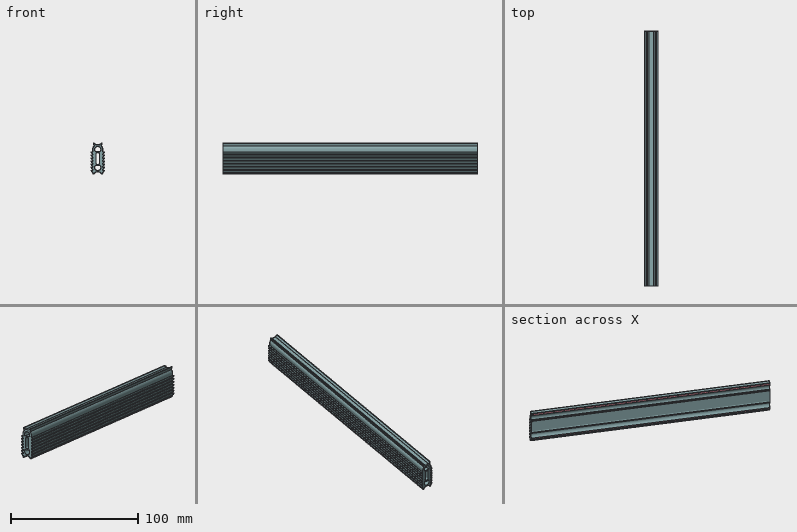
import cadquery as cq
import math

length = 200.0
width = 10.5
height = 24.5

tooth_count = 7
tooth_pitch = 2.5
tooth_tip_radius = 0.2
tooth_slope_angle = math.radians(49)
top_tooth_z = 5.2
wall_half_width = 4.0
tooth_embed = 0.5

horn_inner_x = 3.0
horn_outer_x = 3.5
horn_side_height = 0.5
horn_neck_x = 2.8
horn_neck_z = 9.8
shoulder_z = 7.5
trough_floor_half_width = 1.5
trough_floor_z = 11.0

foot_top_z = -11.2
foot_inner_x = 3.0
foot_outer_x = 3.5
lower_trough_top_z = -10.5

bore_radius = 2.5
bore_center_z = 7.0
bore_flat_z = 5.5
slot_width = 2.5
slot_height = 9.2
slot_corner_radius = 0.8

top_z = height / 2
bottom_z = -height / 2
tip_x = width / 2


def right_tooth(top):
    """Solid tooth on the +X flank whose flat upper face is at height top."""
    inner_x = wall_half_width - tooth_embed
    center_x = tip_x - tooth_tip_radius
    center_z = top - tooth_tip_radius
    slope_start_x = center_x + tooth_tip_radius * math.sin(tooth_slope_angle)
    slope_start_z = center_z - tooth_tip_radius * math.cos(tooth_slope_angle)
    root_z = slope_start_z - (slope_start_x - wall_half_width) * math.tan(tooth_slope_angle)
    return (
        cq.Workplane("XZ", origin=(0, length / 2, 0))
        .moveTo(inner_x, top)
        .lineTo(center_x, top)
        .threePointArc((tip_x, center_z), (slope_start_x, slope_start_z))
        .lineTo(wall_half_width, root_z)
        .lineTo(inner_x, root_z)
        .close()
        .extrude(length)
    )


def shoulder_middle(side):
    """Middle point of the convex shoulder between the horn neck and wall."""
    middle_x = wall_half_width - (wall_half_width - horn_neck_x) / 4
    middle_z = (horn_neck_z + shoulder_z) / 2
    return side * middle_x, middle_z


def outer_profile():
    return (
        cq.Workplane("XZ", origin=(0, length / 2, 0))
        .moveTo(-trough_floor_half_width, trough_floor_z)
        .lineTo(trough_floor_half_width, trough_floor_z)
        .lineTo(horn_inner_x, top_z)
        .lineTo(horn_outer_x, top_z)
        .lineTo(horn_outer_x, top_z - horn_side_height)
        .lineTo(horn_neck_x, horn_neck_z)
        .threePointArc(shoulder_middle(1), (wall_half_width, shoulder_z))
        .lineTo(wall_half_width, foot_top_z)
        .lineTo(foot_outer_x, bottom_z)
        .lineTo(foot_inner_x, bottom_z)
        .threePointArc((0, lower_trough_top_z), (-foot_inner_x, bottom_z))
        .lineTo(-foot_outer_x, bottom_z)
        .lineTo(-wall_half_width, foot_top_z)
        .lineTo(-wall_half_width, shoulder_z)
        .threePointArc(shoulder_middle(-1), (-horn_neck_x, horn_neck_z))
        .lineTo(-horn_outer_x, top_z - horn_side_height)
        .lineTo(-horn_outer_x, top_z)
        .lineTo(-horn_inner_x, top_z)
        .close()
    )


def bore(side):
    """Round passage cut off by a flat facing the slot; side is 1 above, -1 below."""
    flat_half_width = math.sqrt(bore_radius**2 - (bore_center_z - bore_flat_z) ** 2)
    return (
        cq.Workplane("XZ", origin=(0, length / 2, 0))
        .moveTo(-flat_half_width, side * bore_flat_z)
        .threePointArc(
            (0, side * (bore_center_z + bore_radius)),
            (flat_half_width, side * bore_flat_z),
        )
        .close()
        .extrude(length)
    )


def slot():
    return cq.Workplane("XY").box(slot_width, length, slot_height).edges("|Y").fillet(slot_corner_radius)


body = outer_profile().extrude(length)
for index in range(tooth_count):
    tooth = right_tooth(top_tooth_z - index * tooth_pitch)
    body = body.union(tooth).union(tooth.mirror("YZ"))

result = body.cut(bore(1)).cut(bore(-1)).cut(slot())